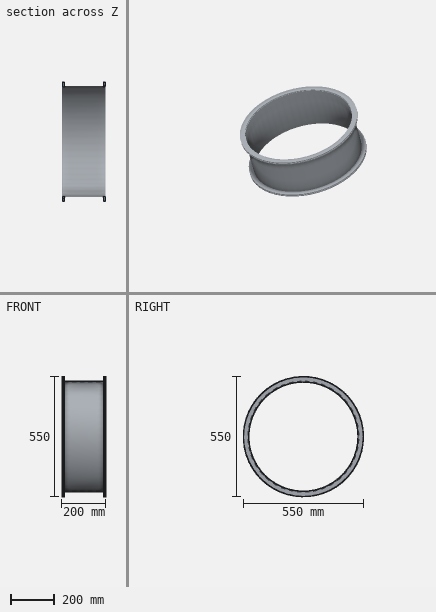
import cadquery as cq

width = 200.0
flange_diameter = 550.0
flange_thickness = 11.5

tube_diameter = 508.0
bore_diameter = 498.0

mouth_diameter = 501.0
mouth_depth = 4.5

groove_floor_diameter = 545.0
groove_width = 1.5
groove_offset = 5.0

end_face = -width / 2


def disc(diameter, start, length):
    """Solid disc on the X axis, starting at the given X position."""
    return cq.Workplane("YZ", origin=(start, 0, 0)).circle(diameter / 2).extrude(length)


def flange_end():
    """Grooved flange whose outer face lies at the -X end."""
    flange = disc(flange_diameter, end_face, flange_thickness)
    groove_start = end_face + groove_offset
    groove = disc(flange_diameter, groove_start, groove_width).cut(
        disc(groove_floor_diameter, groove_start, groove_width)
    )
    return flange.cut(groove)


def mouth_step():
    """Widened entry of the bore at the -X end."""
    return disc(mouth_diameter, end_face, mouth_depth)


def both_ends(shape):
    """The shape together with its mirror image at the +X end."""
    return shape.union(shape.mirror("YZ"))


tube = disc(tube_diameter, end_face, width)
bore = disc(bore_diameter, end_face, width)

result = tube.union(both_ends(flange_end())).cut(bore).cut(both_ends(mouth_step()))